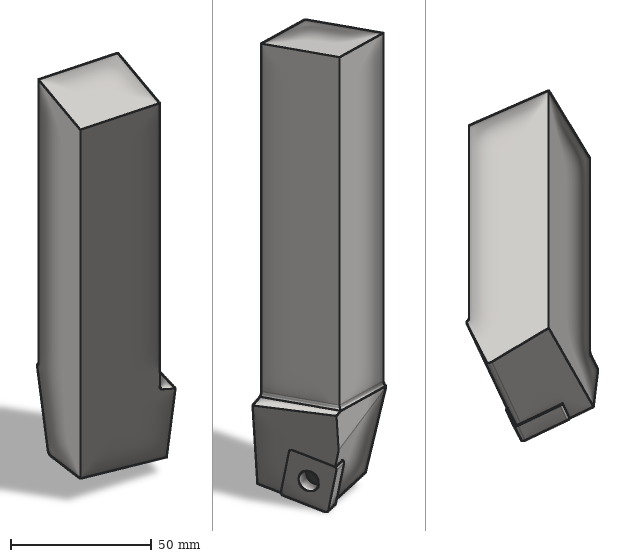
import cadquery as cq
import math

total_length = 171.4
shank_size = 32.0

side_step = 1.0
blend_top = 41.0
blend_end = 39.2
blend_depth = 0.9
shoulder_angle = 17.0
head_height = 44.5

edge_angle = math.radians(14.0)
rake_slope_x = 0.071
rake_slope_z = 0.117
tip_x = 4.8
tip_y = 32.0
tip_z = -0.25

insert_size = 19.0
insert_thickness = 6.3
insert_corner_radius = 1.2
insert_hole_diameter = 7.9
insert_overhang = 0.7

nose_radius = 1.7
nose_reach = 102.8

edge_direction = cq.Vector(
    math.cos(edge_angle),
    rake_slope_x * math.cos(edge_angle) + rake_slope_z * math.sin(edge_angle),
    math.sin(edge_angle),
)
rake_plane = cq.Plane(
    origin=(tip_x, tip_y, tip_z),
    xDir=edge_direction,
    normal=(rake_slope_x, -1.0, rake_slope_z),
)


def make_insert_blank():
    """Square plate with rounded corners, lying under the rake plane."""
    return (
        cq.Workplane(rake_plane)
        .rect(insert_size, insert_size, centered=False)
        .extrude(insert_thickness)
        .edges(cq.selectors.ParallelDirSelector(rake_plane.zDir))
        .fillet(insert_corner_radius)
    )


def make_insert():
    """Insert with its through hole."""
    hole = (
        cq.Workplane(rake_plane)
        .center(insert_size / 2, insert_size / 2)
        .circle(insert_hole_diameter / 2)
        .extrude(insert_thickness)
    )
    return make_insert_blank().cut(hole)


def make_shank():
    """Square bar from the top of the blends to the far end."""
    return (
        cq.Workplane("XY")
        .workplane(offset=blend_top)
        .rect(shank_size, shank_size, centered=False)
        .extrude(total_length - blend_top)
    )


def make_head_blank():
    """Head block with concave blends up to the shank on -X and +Y."""
    blend_block = (
        cq.Workplane("XZ")
        .moveTo(shank_size, 0)
        .lineTo(shank_size, total_length)
        .lineTo(0, total_length)
        .lineTo(0, blend_top)
        .tangentArcPoint((-side_step, blend_end), relative=False)
        .lineTo(-side_step, 0)
        .close()
        .extrude(-head_height)
    )
    shoulder_start = shank_size + blend_depth
    shoulder_drop = (head_height - shoulder_start) * math.tan(math.radians(shoulder_angle))
    shoulder_block = (
        cq.Workplane("YZ")
        .workplane(offset=-side_step)
        .lineTo(0, total_length)
        .lineTo(shank_size, total_length)
        .lineTo(shank_size, blend_top)
        .tangentArcPoint((shoulder_start, blend_end), relative=False)
        .lineTo(head_height, blend_end - shoulder_drop)
        .lineTo(head_height, 0)
        .close()
        .extrude(shank_size + side_step)
    )
    below_shank = cq.Workplane("XY").box(nose_reach, nose_reach, 2 * blend_top)
    return blend_block.intersect(shoulder_block).intersect(below_shank)


def make_nose_prism():
    """Prism square to the rake plane that cuts the rake face and both flanks."""
    return (
        cq.Workplane(rake_plane)
        .center(insert_overhang, insert_overhang)
        .rect(nose_reach, nose_reach, centered=False)
        .extrude(nose_reach)
        .edges(cq.selectors.ParallelDirSelector(rake_plane.zDir))
        .edges(cq.selectors.NearestToPointSelector((tip_x, tip_y, tip_z)))
        .fillet(nose_radius)
    )


def make_holder():
    """Shank and head in one piece, with the insert pocket cut to fit."""
    head = make_head_blank().intersect(make_nose_prism())
    return make_shank().union(head).cut(make_insert_blank())


holder = make_holder()
insert = make_insert()
result = cq.Compound.makeCompound([holder.val(), insert.val()])